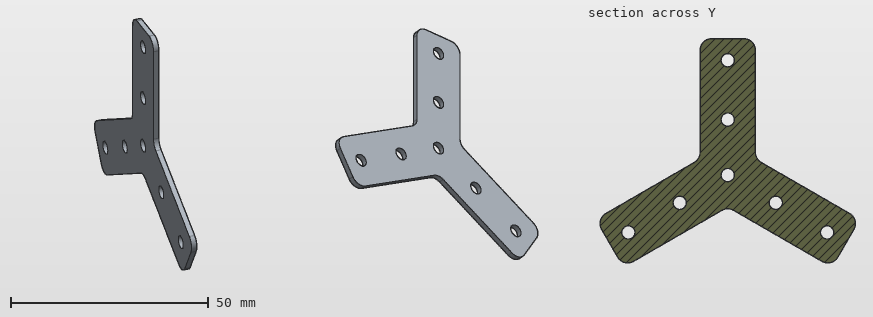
import cadquery as cq

thickness = 1.5
arm_length = 34.5
arm_width = 14.0
corner_radius = 3.0
hole_diameter = 3.3
hole_distances = (14.0, 29.0)
arm_angles = (0, 120, 240)

Y_AXIS_START = (0, 0, 0)
Y_AXIS_END = (0, 1, 0)


def rotate_about_hub(shape, angle):
    return shape.rotate(Y_AXIS_START, Y_AXIS_END, angle)


def make_arm():
    """Upright arm running from the hub centre to its square end."""
    return cq.Workplane("XY").box(
        arm_width, thickness, arm_length, centered=(True, True, False)
    )


def make_hole(distance):
    """Through-hole cutter at a distance up the upright arm."""
    return (
        cq.Workplane("XZ", origin=(0, thickness / 2, 0))
        .center(0, distance)
        .circle(hole_diameter / 2)
        .extrude(thickness)
    )


plate = make_arm()
for angle in arm_angles[1:]:
    plate = plate.union(rotate_about_hub(make_arm(), angle))
plate = plate.clean().edges("|Y").fillet(corner_radius)

plate = plate.cut(make_hole(0))
for angle in arm_angles:
    for distance in hole_distances:
        plate = plate.cut(rotate_about_hub(make_hole(distance), angle))

result = plate